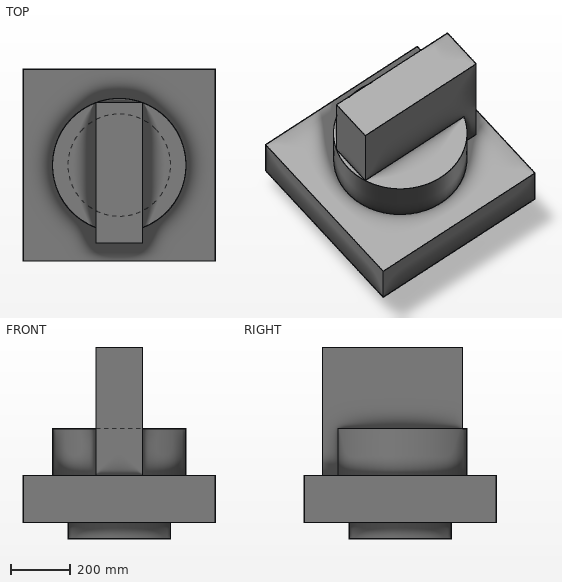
import cadquery as cq

plate_side = 647.5
plate_thickness = 159.0

boss_diameter = 346.0
boss_height = 55.0

hub_diameter = 450.0
hub_height = 157.5

overall_height = 646.0
grip_width = 158.0
grip_front = -263.0
grip_back = 210.5
grip_length = grip_back - grip_front
grip_height = overall_height - boss_height - plate_thickness

plate = cq.Workplane("XY").box(
    plate_side, plate_side, plate_thickness, centered=(True, True, False)
)
boss = cq.Workplane("XY").circle(boss_diameter / 2).extrude(-boss_height)

plate_top = cq.Workplane("XY").workplane(offset=plate_thickness)
hub = plate_top.circle(hub_diameter / 2).extrude(hub_height)
grip = (
    plate_top.center(0, (grip_front + grip_back) / 2)
    .rect(grip_width, grip_length)
    .extrude(grip_height)
)

result = plate.union(boss).union(hub).union(grip)